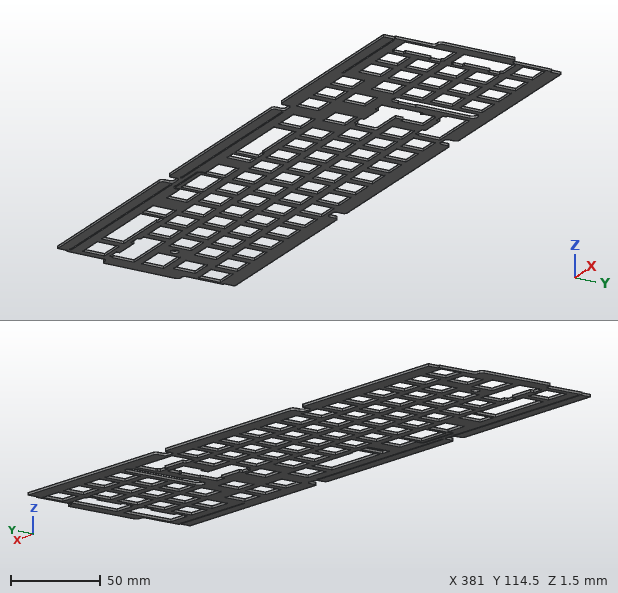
import cadquery as cq


thickness = 1.5
length = 381.0
depth = 114.5
body_length = 370.5
strip_inset = 1.0
strip_y = 50.5
tab_width = 49.5
outline_fillet = 2.0

notch_inner_x = 59.0
notch_outer_x = 67.0
notch_depth = 7.2
slit_width = 0.95
slit_y = -50.0
slit_spans = [(-182.2, -68.2), (-57.0, 57.0), (125.5, 182.2)]

field_width = 371.3
field_units = 19.5
pitch = field_width / field_units
home_row_y = 2.3
switch = 14.0
half_switch = switch / 2
round_corner = 1.5

stab_offset = 12.0
stab_width = 7.2
stab_reach = 9.0
stab_back = 5.7

space_x = -58.5
space_key_half = 11.0
tongue_half = 13.7
space_outer_half = 29.5
space_outer_bottom = -42.0
tongue_bottom = -45.7
tongue_slit = slit_width
tongue_corner = 1.5
bar_top = -28.0
long_left = (-159.5, -115.5)
narrow_left = (-113.2, -101.5)
narrow_right = (-18.0, -11.5)
long_right = (-8.8, 35.0)
raised_length = 6.5

slot_x = (101.5, 108.3)
slot_y = (-6.0, 48.8)
slot_step_x = 100.5
slot_step_y = (-0.5, 11.0)
round_hole_d = 5.0
round_hole_x = -156.0


def key_x(unit):
    """X of a key whose centre lies this many key units from the left edge."""
    return (unit - field_units / 2) * pitch


def row_y(row):
    """Y of a key row; row 0 is the home row and rows count up towards the rear."""
    return home_row_y + row * pitch


def block(x_min, x_max, y_min, y_max):
    """A rectangular block as thick as the sheet, used as material or as a cutter."""
    return (
        cq.Workplane("XY")
        .center((x_min + x_max) / 2, (y_min + y_max) / 2)
        .rect(x_max - x_min, y_max - y_min)
        .extrude(thickness)
    )


def unit_run(first, count):
    """Key centres one unit apart."""
    return [first + step for step in range(count)]


def make_sheet():
    """Body, narrower front and rear strips, and a rounded tab at each end."""
    half_body = body_length / 2
    half_strip = half_body - strip_inset
    sheet = block(-half_body, half_body, -strip_y, strip_y)
    sheet = sheet.union(block(-half_strip, half_strip, -depth / 2, depth / 2))
    sheet = sheet.union(block(-length / 2, length / 2, -tab_width / 2, tab_width / 2))
    corner_y = tab_width / 2 + outline_fillet
    tab_corners = sheet.edges("|Z").edges(cq.selectors.BoxSelector(
        (-length, -corner_y, -thickness), (length, corner_y, 2 * thickness)
    ))
    return tab_corners.fillet(outline_fillet)


def cut_notches(sheet):
    """Two rounded notches in the front edge and two in the rear edge."""
    notch_y = depth / 2 - notch_depth
    for side in (-1, 1):
        for end in (-1, 1):
            x_min, x_max = sorted((end * notch_inner_x, end * notch_outer_x))
            y_min, y_max = sorted((side * notch_y, side * depth / 2))
            sheet = sheet.cut(block(x_min, x_max, y_min, y_max))
    corner_x = notch_outer_x + outline_fillet
    notch_corners = sheet.edges("|Z").edges(cq.selectors.BoxSelector(
        (-corner_x, -depth, -thickness), (corner_x, depth, 2 * thickness)
    ))
    return notch_corners.fillet(outline_fillet)


def cut_slits(sheet):
    """Thin slits along the front strip."""
    for x_min, x_max in slit_spans:
        sheet = sheet.cut(block(x_min, x_max, slit_y - slit_width / 2, slit_y + slit_width / 2))
    return sheet


def cut_switches(sheet):
    """Square openings; pairs less than a unit apart merge into one wider opening."""
    keypad = unit_run(16.0, 3)
    rows = {
        2: unit_run(0.5, 13) + keypad + [19.0],
        1: [0.75] + unit_run(2.0, 12) + [14.25] + keypad,
        0: [0.625, 0.875] + unit_run(2.25, 4) + unit_run(7.25, 6) + keypad,
        -1: unit_run(2.75, 10) + [13.125] + keypad,
        -2: [0.625, 0.75, 12.25, 12.375] + keypad[1:],
        -1.25: [14.75],
        -2.25: unit_run(13.75, 3),
    }
    centres = [(key_x(unit), row_y(row)) for row, units in rows.items() for unit in units]
    return sheet.cut(cq.Workplane("XY").pushPoints(centres).rect(switch, switch).extrude(thickness))


def cut_rounded_keys(sheet):
    """The two home row openings with rounded corners; the right one runs into the Enter opening."""
    y_min = row_y(0) - half_switch
    y_max = row_y(0) + half_switch
    for unit in (6.25, 13.25):
        opening = block(key_x(unit) - half_switch, key_x(unit) + half_switch, y_min, y_max)
        sheet = sheet.cut(opening.edges("|Z").fillet(round_corner))
    return sheet


def cut_wide_key(sheet, first_unit, last_unit, stab_unit, row):
    """A wide opening with two stabilizer openings reaching towards the front."""
    y = row_y(row)
    sheet = sheet.cut(block(
        key_x(first_unit) - half_switch, key_x(last_unit) + half_switch,
        y - half_switch, y + half_switch,
    ))
    for side in (-1, 1):
        x = key_x(stab_unit) + side * stab_offset
        sheet = sheet.cut(block(x - stab_width / 2, x + stab_width / 2, y - stab_reach, y + stab_back))
    return sheet


def cut_tall_stabilizers(sheet, x, y):
    """Two stabilizer openings one above the other, reaching towards the left."""
    for side in (-1, 1):
        stab_y = y + side * stab_offset
        sheet = sheet.cut(block(
            x - stab_reach, x + stab_back, stab_y - stab_width / 2, stab_y + stab_width / 2
        ))
    return sheet


def cut_tall_key(sheet, unit, lower_row):
    """A keypad opening two rows tall."""
    x = key_x(unit)
    sheet = sheet.cut(block(
        x - half_switch, x + half_switch,
        row_y(lower_row) - half_switch, row_y(lower_row + 1) + half_switch,
    ))
    return cut_tall_stabilizers(sheet, x, row_y(lower_row + 0.5))


def cut_enter(sheet):
    """Enter opening shared by a wide home row key and a tall key beside it."""
    sheet = cut_wide_key(sheet, first_unit=13.5, last_unit=14.25, stab_unit=13.875, row=0)
    x = key_x(14.375)
    y = row_y(0.5)
    sheet = sheet.cut(block(x - half_switch, x + half_switch, y - half_switch, y + half_switch))
    return cut_tall_stabilizers(sheet, x, y)


def cut_bottom_row(sheet):
    """Space bar openings and the long and narrow openings beside them."""
    bottom = row_y(-2) - half_switch
    top = row_y(-2) + half_switch
    for x_min, x_max in (long_left, long_right):
        sheet = sheet.cut(block(x_min, x_max, bottom, top))
    left_raised = (long_left[1] - raised_length, long_left[1])
    right_raised = (long_right[0], long_right[0] + raised_length)
    for x_min, x_max in (left_raised, narrow_left, narrow_right, right_raised):
        sheet = sheet.cut(block(x_min, x_max, bottom, bar_top))

    sheet = sheet.cut(block(space_x - space_key_half, space_x + space_key_half, bottom, top))
    for side in (-1, 1):
        x_min, x_max = sorted((space_x + side * tongue_half, space_x + side * space_outer_half))
        sheet = sheet.cut(block(x_min, x_max, space_outer_bottom, top))
    slit_half = tongue_half + tongue_slit
    slit_bottom = tongue_bottom - tongue_slit
    around = block(space_x - slit_half, space_x + slit_half, slit_bottom, top)
    tongue = block(space_x - tongue_half, space_x + tongue_half, tongue_bottom, top)
    around = around.edges("|Z and <Y").fillet(tongue_corner + tongue_slit)
    tongue = tongue.edges("|Z and <Y").fillet(tongue_corner)
    return sheet.cut(around.cut(tongue))


def cut_slot(sheet):
    """Round-ended vertical slot with a shallow step in its left side."""
    x_min, x_max = slot_x
    y_min, y_max = slot_y
    slot = (
        cq.Workplane("XY")
        .center((x_min + x_max) / 2, (y_min + y_max) / 2)
        .slot2D(y_max - y_min, x_max - x_min, 90)
        .extrude(thickness)
    )
    return sheet.cut(slot).cut(block(slot_step_x, x_max, *slot_step_y))


def cut_round_hole(sheet):
    hole = cq.Workplane("XY").center(round_hole_x, home_row_y).circle(round_hole_d / 2).extrude(thickness)
    return sheet.cut(hole)


plate = make_sheet()
plate = cut_notches(plate)
plate = cut_slits(plate)
plate = cut_switches(plate)
plate = cut_rounded_keys(plate)
plate = cut_wide_key(plate, first_unit=13.5, last_unit=14.5, stab_unit=14.0, row=2)
plate = cut_wide_key(plate, first_unit=0.625, last_unit=1.75, stab_unit=1.125, row=-1)
plate = cut_tall_key(plate, unit=19.0, lower_row=0)
plate = cut_tall_key(plate, unit=19.0, lower_row=-2)
plate = cut_enter(plate)
plate = cut_bottom_row(plate)
plate = cut_slot(plate)
result = cut_round_hole(plate)